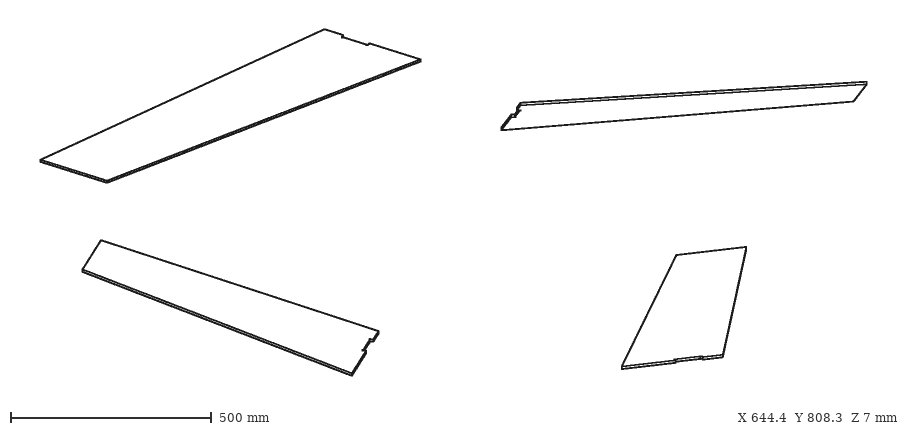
import cadquery as cq

thickness = 7.0
length_y = 808.34
overall_x = 644.4
bottom_width = 187.0
top_width = 270.0

notch_offset = 53.0
notch_width = 73.0
notch_depth = 8.0

relief_radius = 2.0
relief_inset = relief_radius

top_left_x = overall_x - top_width
notch_left_x = top_left_x + notch_offset
notch_right_x = notch_left_x + notch_width
notch_floor_y = length_y - notch_depth


def make_plate():
    """Four-sided plate with parallel bottom and top edges."""
    outline = [
        (0, 0),
        (bottom_width, 0),
        (overall_x, length_y),
        (top_left_x, length_y),
    ]
    return cq.Workplane("XY").polyline(outline).close().extrude(thickness)


def make_notch():
    """Block removed from the top edge through the full thickness."""
    return (
        cq.Workplane("XY")
        .box(notch_width, notch_depth, thickness, centered=False)
        .translate((notch_left_x, notch_floor_y, 0))
    )


def make_corner_relief(x):
    """Cylinder centred on the notch floor at the given x."""
    return (
        cq.Workplane("XY")
        .center(x, notch_floor_y)
        .circle(relief_radius)
        .extrude(thickness)
    )


result = make_plate().cut(make_notch())
for relief_x in (notch_left_x + relief_inset, notch_right_x - relief_inset):
    result = result.cut(make_corner_relief(relief_x))